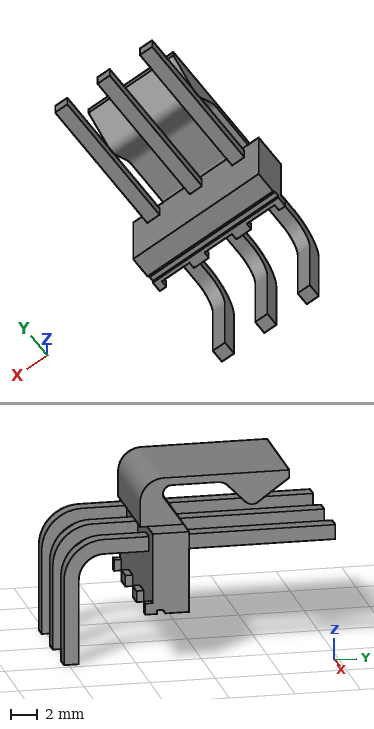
import cadquery as cq
import math


pitch = 3.96
contact_count = 3
pin_size = 1.14
pin_top = 5.67
pin_base = pin_top - pin_size
post_length = 11.45
tail_reach = 6.48
tail_drop = 3.97
bend_outer_radius = 3.05
bend_inner_radius = bend_outer_radius - pin_size

housing_width = 11.73
housing_depth = 2.78
housing_height = 6.28

foot_projection = 0.55
foot_height = 0.87
inner_foot_width = 1.40
end_foot_width = 0.61

groove_offset = 0.33
groove_height = 0.29
groove_top_width = 0.40
groove_bottom_width = 0.66

latch_width = 2 * pitch
latch_top = 10.0
latch_length = 11.39
latch_thickness = 0.61
latch_front = -foot_projection
latch_tip = latch_front + latch_length
latch_underside = latch_top - latch_thickness
latch_bend_radius = 1.80
throat_radius = 0.65
throat_angle = 55.0
hook_corner_depth = 2.72
hook_lead_angle = 36.0
hook_catch_angle = 45.0
hook_nose_radius = 0.75
hook_root_radius = 1.05

contact_positions = [(i - (contact_count - 1) / 2) * pitch for i in range(contact_count)]


def extrude_across(profile, width, center_x=0):
    """Extrude a closed YZ profile along X, centred on center_x."""
    return profile.extrude(width / 2, both=True).translate((center_x, 0, 0))


def run_for_rise(rise, angle):
    """Horizontal length of a slope that climbs by rise at angle degrees."""
    return rise / math.tan(math.radians(angle))


def edges_along_x_at(y, z):
    """Selector box around the edge that runs along X through (y, z)."""
    reach = 0.05
    return cq.selectors.BoxSelector(
        (-housing_width, y - reach, z - reach),
        (housing_width, y + reach, z + reach),
    )


def make_latch():
    """Sprung arm with a hooked end, standing on the housing and overhanging its front."""
    neck_top_y = housing_depth - run_for_rise(latch_underside - housing_height, throat_angle)
    hook_corner_z = latch_top - hook_corner_depth
    hook_rise = latch_underside - hook_corner_z
    hook_corner_y = latch_tip - run_for_rise(hook_rise, hook_lead_angle)
    hook_root_y = hook_corner_y - run_for_rise(hook_rise, hook_catch_angle)
    profile = cq.Workplane("YZ").polyline([
        (latch_front, housing_height),
        (latch_front, latch_top),
        (latch_tip, latch_top),
        (latch_tip, latch_underside),
        (hook_corner_y, hook_corner_z),
        (hook_root_y, latch_underside),
        (neck_top_y, latch_underside),
        (housing_depth, housing_height),
    ]).close()
    latch = extrude_across(profile, latch_width)
    rounded_corners = [
        (latch_front, latch_top, latch_bend_radius),
        (neck_top_y, latch_underside, throat_radius),
        (hook_root_y, latch_underside, hook_root_radius),
        (hook_corner_y, hook_corner_z, hook_nose_radius),
    ]
    for y, z, radius in rounded_corners:
        latch = latch.edges(edges_along_x_at(y, z)).fillet(radius)
    return latch


def make_foot(center_x, width):
    """Small block standing out from the housing's front face."""
    foot = cq.Workplane("XY").box(width, foot_projection, foot_height, centered=(True, False, False))
    return foot.translate((center_x, -foot_projection, 0))


def make_groove():
    """Cutter for the underside groove: upright front wall, sloping rear wall."""
    profile = cq.Workplane("YZ").polyline([
        (groove_offset, 0),
        (groove_offset, groove_height),
        (groove_offset + groove_top_width, groove_height),
        (groove_offset + groove_bottom_width, 0),
    ]).close()
    return extrude_across(profile, housing_width)


def make_housing():
    """Block with its feet, underside groove and latch."""
    housing = cq.Workplane("XY").box(
        housing_width, housing_depth, housing_height, centered=(True, False, False)
    )
    for left_x, right_x in zip(contact_positions, contact_positions[1:]):
        housing = housing.union(make_foot((left_x + right_x) / 2, inner_foot_width))
    for side in (-1, 1):
        end_foot_x = side * (housing_width - end_foot_width) / 2
        housing = housing.union(make_foot(end_foot_x, end_foot_width))
    housing = housing.cut(make_groove())
    return housing.union(make_latch())


def make_post(center_x):
    """Straight mating post behind the housing."""
    post = cq.Workplane("XY").box(pin_size, post_length, pin_size, centered=(True, False, False))
    return post.translate((center_x, housing_depth, pin_base))


def make_tail(center_x):
    """Solder tail in front of the housing, bent down through a quarter turn."""
    bend_y = bend_outer_radius - tail_reach
    bend_z = pin_top - bend_outer_radius
    diagonal = math.sqrt(0.5)
    outer_middle = diagonal * bend_outer_radius
    inner_middle = diagonal * bend_inner_radius
    profile = (
        cq.Workplane("YZ")
        .moveTo(0, pin_top)
        .lineTo(bend_y, pin_top)
        .threePointArc((bend_y - outer_middle, bend_z + outer_middle), (-tail_reach, bend_z))
        .lineTo(-tail_reach, -tail_drop)
        .lineTo(-tail_reach + pin_size, -tail_drop)
        .lineTo(-tail_reach + pin_size, bend_z)
        .threePointArc((bend_y - inner_middle, bend_z + inner_middle), (bend_y, pin_base))
        .lineTo(0, pin_base)
        .close()
    )
    return extrude_across(profile, pin_size, center_x)


housing = make_housing()
posts = [make_post(x) for x in contact_positions]
tails = [make_tail(x) for x in contact_positions]

result = cq.Compound.makeCompound(
    [housing.val()] + [post.val() for post in posts] + [tail.val() for tail in tails]
)